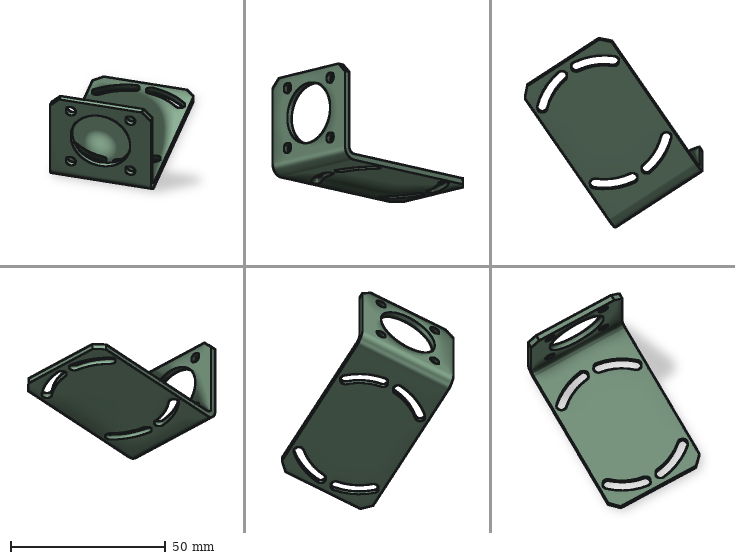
import cadquery as cq
import math

width = 34.0
length = 56.0
height = 32.0
thickness = 2.0
bend_inner_radius = 2.0
corner_chamfer = 3.0

bore_diameter = 20.0
bore_center_z = 18.0
screw_diameter = 3.3
screw_spacing = 20.0

slot_center_y = 32.0
slot_radius = 20.7
slot_width = 3.3
slot_start_angle = 7.7
slot_end_angle = 42.3

bend_outer_radius = bend_inner_radius + thickness


def bent_sheet():
    """L-shaped sheet, base on Z = 0 and upright on Y = 0, centered in X."""
    profile = (
        cq.Workplane("YZ")
        .moveTo(0, 0)
        .lineTo(length, 0)
        .lineTo(length, thickness)
        .lineTo(thickness, thickness)
        .lineTo(thickness, height)
        .lineTo(0, height)
        .close()
    )
    sheet = profile.extrude(width / 2, both=True)
    inner_edge = cq.selectors.NearestToPointSelector((0, thickness, thickness))
    sheet = sheet.edges(inner_edge).fillet(bend_inner_radius)
    return sheet.faces("<Y").edges("<Z").fillet(bend_outer_radius)


def chamfer_free_corners(sheet):
    """Cut the outer corners at the end of the base and the top of the upright."""
    sheet = sheet.faces(">Y").edges("|Z").chamfer(corner_chamfer)
    return sheet.faces(">Z").edges("|Y").chamfer(corner_chamfer)


def upright_holes():
    """Cutters for the bore and the square of screw holes."""
    plane = cq.Workplane("XZ").center(0, bore_center_z)
    bore = plane.circle(bore_diameter / 2).extrude(-thickness)
    screws = (
        plane.rect(screw_spacing, screw_spacing, forConstruction=True)
        .vertices()
        .circle(screw_diameter / 2)
        .extrude(-thickness)
    )
    return bore.union(screws)


def arc_slot():
    """Round-ended slot on an arc about the Z axis, in the +X +Y quadrant."""
    inner = slot_radius - slot_width / 2
    outer = slot_radius + slot_width / 2
    middle_angle = (slot_start_angle + slot_end_angle) / 2

    def point(radius, degrees):
        angle = math.radians(degrees)
        return (radius * math.sin(angle), radius * math.cos(angle))

    def cap_point(degrees, direction):
        angle = math.radians(degrees)
        x, y = point(slot_radius, degrees)
        bulge = direction * slot_width / 2
        return (x + bulge * math.cos(angle), y - bulge * math.sin(angle))

    return (
        cq.Workplane("XY")
        .moveTo(*point(outer, slot_start_angle))
        .threePointArc(point(outer, middle_angle), point(outer, slot_end_angle))
        .threePointArc(cap_point(slot_end_angle, 1), point(inner, slot_end_angle))
        .threePointArc(point(inner, middle_angle), point(inner, slot_start_angle))
        .threePointArc(cap_point(slot_start_angle, -1), point(outer, slot_start_angle))
        .close()
        .extrude(thickness)
    )


def base_slots():
    """Cutters for the four slots, mirrored across both axes of the pivot point."""
    right_pair = arc_slot().union(arc_slot().mirror("XZ"))
    slots = right_pair.union(right_pair.mirror("YZ"))
    return slots.translate((0, slot_center_y, 0))


result = chamfer_free_corners(bent_sheet()).cut(upright_holes()).cut(base_slots())